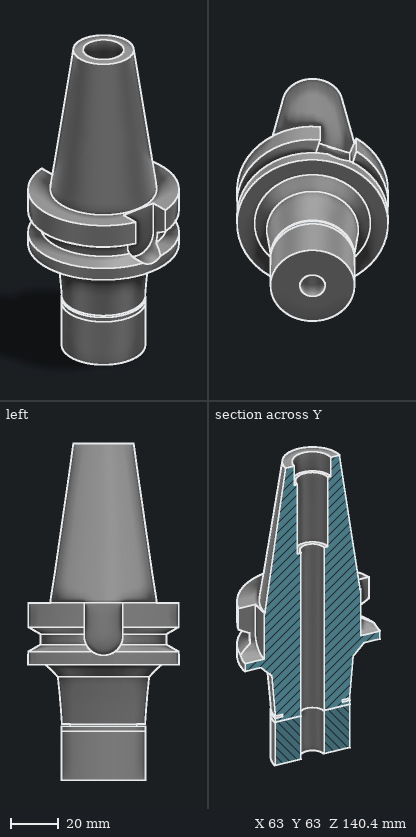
import cadquery as cq

total_height = 140.4

nut_radius = 17.5
nut_height = 20.5

collar_height = 2.1
neck_radius = 13.9
neck_gap = 0.8

nose_end_radius = 17.4
nose_top_radius = 19.1
nose_top_z = 43.1
shoulder_radius = 24.1

flange_radius = 31.52
flange_bottom_z = 48.2
flange_top_z = 74.0
lower_rim_height = 5.5
upper_rim_height = 10.1
groove_radius = 26.4
groove_flank_height = 3.0

gauge_radius = 22.2
gauge_collar_height = 1.0
taper_per_side = 7 / 48

slot_width = 16.1
slot_floor_z = 52.1
slot_face_distance = 22.6

through_radius = 5.26
thread_radius = 7.09
thread_end_depth = 42.1
pilot_radius = 8.5
pilot_depth = 9.1


def revolve_half_profile(points):
    """Solid of revolution about Z from (radius, height) points."""
    return cq.Workplane("XZ").polyline(points).close().revolve(360, (0, 0), (0, 1))


def cylinder(radius, bottom_z, top_z):
    """Coaxial cylinder between two heights."""
    return cq.Workplane("XY").workplane(offset=bottom_z).circle(radius).extrude(top_z - bottom_z)


def drive_slot(side):
    """Round-bottomed slot cutter on the +X (side = 1) or -X (side = -1) flank."""
    slot_radius = slot_width / 2
    arc_center_z = slot_floor_z + slot_radius
    return (
        cq.Workplane("YZ")
        .workplane(offset=side * slot_face_distance)
        .moveTo(-slot_radius, flange_top_z)
        .lineTo(-slot_radius, arc_center_z)
        .threePointArc((0, slot_floor_z), (slot_radius, arc_center_z))
        .lineTo(slot_radius, flange_top_z)
        .close()
        .extrude(side * (flange_radius - slot_face_distance + 1.4))
    )


def make_holder():
    """Tool holder: end collar, groove, nose, grooved flange and tapered shank."""
    collar_top_z = nut_height + collar_height
    nose_end_z = collar_top_z + neck_gap
    groove_start_z = flange_bottom_z + lower_rim_height
    groove_end_z = flange_top_z - upper_rim_height
    gauge_z = flange_top_z + gauge_collar_height
    shank_end_radius = gauge_radius - (total_height - gauge_z) * taper_per_side
    holder = revolve_half_profile([
        (0, nut_height),
        (nut_radius, nut_height),
        (nut_radius, collar_top_z),
        (neck_radius, collar_top_z),
        (neck_radius, nose_end_z),
        (nose_end_radius, nose_end_z),
        (nose_top_radius, nose_top_z),
        (shoulder_radius, flange_bottom_z),
        (flange_radius, flange_bottom_z),
        (flange_radius, groove_start_z),
        (groove_radius, groove_start_z + groove_flank_height),
        (groove_radius, groove_end_z - groove_flank_height),
        (flange_radius, groove_end_z),
        (flange_radius, flange_top_z),
        (gauge_radius, flange_top_z),
        (gauge_radius, gauge_z),
        (shank_end_radius, total_height),
        (0, total_height),
    ])
    for side in (-1, 1):
        holder = holder.cut(drive_slot(side))
    holder = holder.cut(cylinder(through_radius, nut_height, total_height))
    holder = holder.cut(cylinder(thread_radius, total_height - thread_end_depth, total_height))
    return holder.cut(cylinder(pilot_radius, total_height - pilot_depth, total_height))


def make_nut():
    """Clamping nut seated against the holder's end collar."""
    return cylinder(nut_radius, 0, nut_height).cut(cylinder(through_radius, 0, nut_height))


holder = make_holder()
nut = make_nut()
result = cq.Compound.makeCompound([holder.val(), nut.val()])